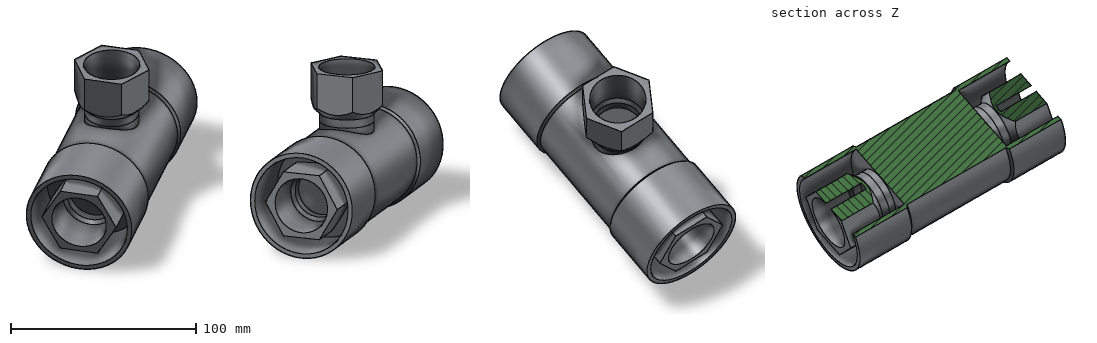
import cadquery as cq

length = 136.0
collar_diameter = 59.0
collar_length = 34.1
collar_bevel = 1.2
core_diameter = 56.0
socket_diameter = 54.0

nut_length = 30.2
hex_corners = 41.6
neck_diameter = 29.5
neck_length = 4.6
bore_diameter = 30.3
seat_diameter = 26.5
seat_cone_length = 1.9
bore_length = 23.3

side_boss_end = 29.2
socket_depth = collar_length

end_boss_end = length / 2 - nut_length


def cylinder(diameter, start, end):
    """Round bar along Z between two heights."""
    return cq.Workplane("XY").workplane(offset=start).circle(diameter / 2).extrude(end - start)


def along_y(shape, side):
    """Turn a shape from +Z to the +Y (side = 1) or -Y (side = -1) direction."""
    return shape.rotate((0, 0, 0), (1, 0, 0), -90 * side)


def make_end_collar():
    """Collar with a bevelled inner edge, pointing along +Z."""
    start = length / 2 - collar_length - collar_bevel
    return cylinder(collar_diameter, start, length / 2).faces("<Z").chamfer(
        collar_bevel, (collar_diameter - core_diameter) / 2
    )


def make_housing():
    """Solid core with two end collars, two sockets and three bosses for the nuts."""
    housing = along_y(cylinder(core_diameter, -length / 2, length / 2), 1)
    socket_floor = length / 2 - socket_depth
    for side in (1, -1):
        housing = housing.union(along_y(make_end_collar(), side))
        housing = housing.cut(along_y(cylinder(socket_diameter, socket_floor, length / 2), side))
        housing = housing.union(along_y(cylinder(neck_diameter, 0, end_boss_end), side))
    return housing.union(cylinder(neck_diameter, 0, side_boss_end))


def make_nut():
    """Nut along +Z with its neck end at the origin."""
    hex_radius = hex_corners / 2
    neck_radius = neck_diameter / 2
    cone_end = neck_length + hex_radius - neck_radius

    head = cq.Workplane("XY").polygon(6, hex_corners).extrude(nut_length)
    envelope = (
        cq.Workplane("XZ")
        .polyline([
            (0, 0),
            (neck_radius, 0),
            (neck_radius, neck_length),
            (hex_radius, cone_end),
            (hex_radius, nut_length),
            (0, nut_length),
        ])
        .close()
        .revolve(360, (0, 0, 0), (0, 1, 0))
    )
    bore_floor = nut_length - bore_length
    bore = (
        cq.Workplane("XZ")
        .polyline([
            (0, 0),
            (seat_diameter / 2, 0),
            (seat_diameter / 2, bore_floor - seat_cone_length),
            (bore_diameter / 2, bore_floor),
            (bore_diameter / 2, nut_length),
            (0, nut_length),
        ])
        .close()
        .revolve(360, (0, 0, 0), (0, 1, 0))
    )
    return head.intersect(envelope).cut(bore)


housing = make_housing()
side_nut = make_nut().translate((0, 0, side_boss_end))
end_nuts = [along_y(make_nut().translate((0, 0, end_boss_end)), side) for side in (1, -1)]

result = cq.Compound.makeCompound([
    housing.val(),
    side_nut.val(),
    *[nut.val() for nut in end_nuts],
])